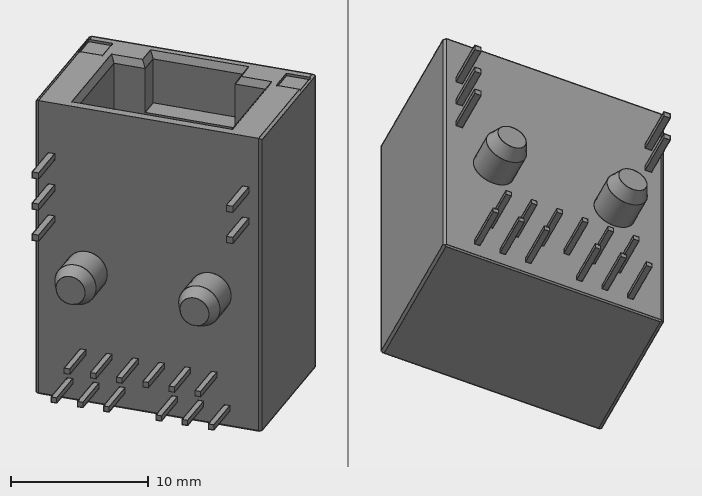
import cadquery as cq
import math


width = 17.53
depth = 11.1
height = 23.88
side_bevel = 0.25
edge_bevel = 0.12

plug_half_width = 6.2
latch_half_width = 3.8
plug_front = 0.67
plug_back = 8.8
latch_back = 10.45
mouth_bevel = 0.3
mouth_angle = math.radians(30)
plug_depth = 5.87
latch_depth = 4.1
ramp_run = 0.95
mouth_bevel_depth = mouth_bevel / math.tan(mouth_angle)
ramp_depth = ramp_run / math.tan(mouth_angle)

window_inner_x = 6.73
window_outer_x = 8.6
window_front = 8.38
window_back = 10.44
window_depth = 0.2

lead_length = 3.3
side_pin_size = 0.5
side_pin_x = 7.52
row_pitch = 2.53
side_pin_top_z = 19.53
left_pin_count = 3
right_pin_count = 2

signal_pin_size = 0.43
signal_pin_pitch = 2.03
signal_pin_step = signal_pin_pitch / 2
upper_row_z = 4.05
lower_row_z = upper_row_z - row_pitch
upper_row_steps = (-5, -3, -1, 1, 3, 5)
lower_row_steps = (-6, -4, -2, 2, 4, 6)

peg_radius = 1.6
peg_tip_radius = 1.12
peg_tip_length = 1.0
peg_x = 4.8
peg_z = 10.67


def block(x_min, x_max, y_min, y_max, z_min, z_max):
    size = (x_max - x_min, y_max - y_min, z_max - z_min)
    return cq.Workplane("XY").box(*size, centered=False).translate((x_min, y_min, z_min))


def housing_block():
    """Box with all edges bevelled except the top one over the pin face, which stays sharp.

    It is the common part of three bevelled prisms, one along each axis.
    """
    side = width / 2
    inner_side = side - side_bevel
    inner_back = depth - edge_bevel
    inner_top = height - edge_bevel

    plan = [
        (-inner_side, 0),
        (inner_side, 0),
        (side, edge_bevel),
        (side, inner_back),
        (inner_side, depth),
        (-inner_side, depth),
        (-side, inner_back),
        (-side, edge_bevel),
    ]
    elevation = [
        (-inner_side, 0),
        (inner_side, 0),
        (side, edge_bevel),
        (side, inner_top),
        (inner_side, height),
        (-inner_side, height),
        (-side, inner_top),
        (-side, edge_bevel),
    ]
    profile = [
        (edge_bevel, 0),
        (inner_back, 0),
        (depth, edge_bevel),
        (depth, inner_top),
        (inner_back, height),
        (0, height),
        (0, edge_bevel),
    ]
    along_z = cq.Workplane("XY").polyline(plan).close().extrude(height)
    along_y = cq.Workplane("XZ").polyline(elevation).close().extrude(-depth)
    along_x = cq.Workplane("YZ").polyline(profile).close().extrude(side, both=True)
    return along_z.intersect(along_y).intersect(along_x)


def mouth_outline(inset):
    """T-shaped port outline, moved inward by the inset."""
    plug_x = plug_half_width - inset
    latch_x = latch_half_width - inset
    front_y = plug_front + inset
    shoulder_y = plug_back - inset
    back_y = latch_back - inset
    return [
        (-plug_x, front_y),
        (plug_x, front_y),
        (plug_x, shoulder_y),
        (latch_x, shoulder_y),
        (latch_x, back_y),
        (-latch_x, back_y),
        (-latch_x, shoulder_y),
        (-plug_x, shoulder_y),
    ]


def port():
    """Empty space of the port: bevelled mouth, front ramp, plug pocket and latch slot."""
    plug_x = plug_half_width - mouth_bevel
    latch_x = latch_half_width - mouth_bevel
    shoulder_y = plug_back - mouth_bevel
    pocket_front = plug_front + ramp_run

    mouth = (
        cq.Workplane("XY", origin=(0, 0, height))
        .polyline(mouth_outline(0)).close()
        .workplane(offset=-mouth_bevel_depth)
        .polyline(mouth_outline(mouth_bevel)).close()
        .loft(ruled=True)
    )
    ramp = (
        cq.Workplane("YZ")
        .polyline([(plug_front, height), (pocket_front, height), (pocket_front, height - ramp_depth)])
        .close()
        .extrude(plug_x, both=True)
    )
    plug_pocket = block(-plug_x, plug_x, pocket_front, shoulder_y, height - plug_depth, height)
    latch_slot = block(
        -latch_x, latch_x, pocket_front, latch_back - mouth_bevel, height - latch_depth, height
    )
    return mouth.union(ramp).union(plug_pocket).union(latch_slot)


def windows():
    right = block(
        window_inner_x, window_outer_x, window_front, window_back, height - window_depth, height
    )
    return right.union(right.mirror("YZ"))


def pins(size, places):
    """Square pins standing out of the -Y face at the given (x, z) places."""
    return cq.Workplane("XZ").pushPoints(places).rect(size, size).extrude(lead_length)


def side_pin_places(x, count):
    return [(x, side_pin_top_z - i * row_pitch) for i in range(count)]


def row_places(steps, z):
    return [(step * signal_pin_step, z) for step in steps]


def peg(x):
    """Round locating peg with a conical tip, turned about its own axis along -Y."""
    profile = [
        (0, 0),
        (peg_radius, 0),
        (peg_radius, peg_tip_length - lead_length),
        (peg_tip_radius, -lead_length),
        (0, -lead_length),
    ]
    turned = cq.Workplane("XY").polyline(profile).close().revolve(360, (0, 0), (0, 1))
    return turned.translate((x, 0, peg_z))


housing = housing_block().cut(port()).cut(windows())

side_places = side_pin_places(-side_pin_x, left_pin_count) + side_pin_places(side_pin_x, right_pin_count)
signal_places = row_places(upper_row_steps, upper_row_z) + row_places(lower_row_steps, lower_row_z)

result = (
    housing
    .union(pins(side_pin_size, side_places))
    .union(pins(signal_pin_size, signal_places))
    .union(peg(-peg_x))
    .union(peg(peg_x))
)